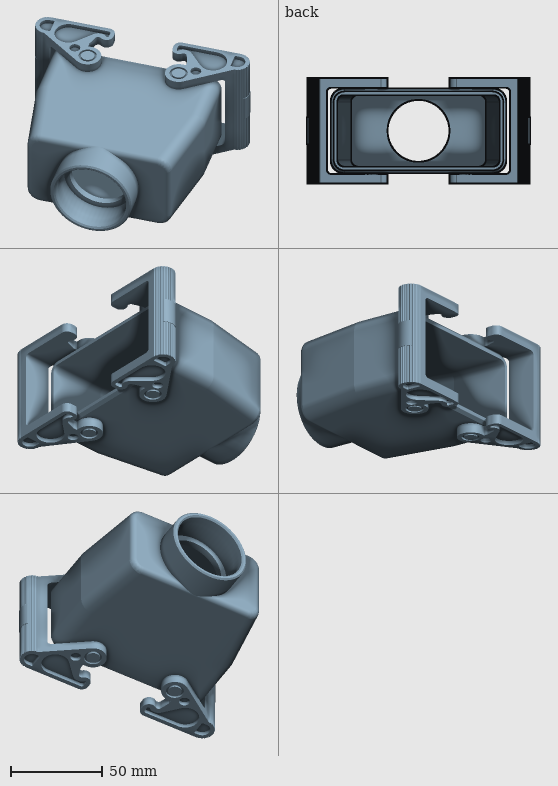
import cadquery as cq
import math



def on_circle(centre, radius, angle):
    """Point of a circle at an angle in radians."""
    return (centre[0] + radius * math.cos(angle), centre[1] + radius * math.sin(angle))


HOOD_HALF_WIDTH = 48.2
HOOD_HALF_HEIGHT = 23.3
HOOD_END_HALF_WIDTH = 40.6
HOOD_TAPER_Y = -34.6
HOOD_END_Y = -77.4
HOOD_SIDE_FILLET = 7.4
HOOD_END_FILLET = 3.2
MATING_EDGE_CHAMFER = 1.7
WALL = 3.7
END_WALL = 6.1
CAVITY_FILLET = HOOD_SIDE_FILLET - WALL

COLLAR_RADIUS = 23.2
COLLAR_END_Y = -92.6
COLLAR_CHAMFER = 0.9
ENTRY_RECESS_RADIUS = 20.2
ENTRY_RECESS_DEPTH = 17.5
ENTRY_RECESS_CHAMFER = 0.9
BORE_RADIUS = 16.9

LEVER_HALF_HEIGHT = 58.0 / 2
LEVER_TOP_Y = 15.3
WINDOW_HALF_HEIGHT = 23.5
WINDOW_X = -50.1
WINDOW_FILLET = 2.2

GRIP_RADIUS = 6.9
GRIP_PAD_RADIUS = 7.1
LEVER_OUTER_X = -61.3
GRIP_CENTRE = (LEVER_OUTER_X + GRIP_PAD_RADIUS, LEVER_TOP_Y - GRIP_RADIUS)
GRIP_PAD_HALF_HEIGHT = 7.4
GRIP_PAD_HALF_WIDTH = 4.4
SERRATION_DEPTH = 0.4
SERRATION_COUNT = 13

PIVOT = (-26.0, -9.7)
PIVOT_RADIUS = 7.5
PIN_RADIUS = 7.5 / 2
PIN_GROOVE_RADIUS = 9.9 / 2
PIN_GROOVE_DEPTH = 1.2
PIN_ROOT = 1.8
PIN_LENGTH = LEVER_HALF_HEIGHT - HOOD_HALF_HEIGHT + PIN_ROOT

HOOK_X = -16.9
HOOK_RADIUS = 3.8
HOOK_TIP = (HOOK_X - HOOK_RADIUS, 9.3)
HOOK_TOP = (HOOK_TIP[0], LEVER_TOP_Y - HOOK_RADIUS)
HOOK_TO_NOTCH = math.radians(-130)
NOTCH_RADIUS = 1.8
NOTCH_CENTRE = on_circle(HOOK_TIP, HOOK_RADIUS + NOTCH_RADIUS, HOOK_TO_NOTCH)
NOTCH_FOOT = (-28.0, 0.1)

RIM = 2.5
NOTCH_RIM = 3.2
RECESS_DEPTH = 2.5
RECESS_CENTRE = (-41.3, 5.1)
RECESS_RADIUS = LEVER_TOP_Y - RIM - RECESS_CENTRE[1]
RECESS_TIP_RADIUS = HOOK_RADIUS - RIM
RECESS_NOTCH_RADIUS = NOTCH_RADIUS + NOTCH_RIM
GRIP_RECESS_FLAT_X = -51.5
GRIP_RECESS_RADIUS = GRIP_RADIUS - RIM
GRIP_RECESS_FILLET = 0.6
HOLE_CENTRE = (-34.6, -5.5)
HOLE_RADIUS = 6.0 / 2
HOLE_DEPTH = 2.5


def direction(start, end):
    """Angle in radians of the line from start to end."""
    return math.atan2(end[1] - start[1], end[0] - start[0])


def tangent_angle(centre, radius, point, side):
    """Angle on a circle where the tangent from an outside point touches (side is +1 or -1)."""
    return direction(centre, point) + side * math.acos(radius / math.dist(centre, point))


def prism(outline, bottom, top):
    """Solid between two heights from a closed outline drawn on the XY plane."""
    return outline.extrude(top - bottom).translate((0, 0, bottom))


def both_arms(outline, depth):
    """Mirrored pair of prisms reaching inwards from the outer faces of both arms."""
    upper = prism(outline, LEVER_HALF_HEIGHT - depth, LEVER_HALF_HEIGHT)
    return upper.union(upper.mirror("XY"))


def disc(centre, radius):
    """Circular outline on the XY plane."""
    return cq.Workplane("XY").center(*centre).circle(radius)


def hood_block(inset, end_y):
    """Straight then tapered block, drawn in by an inset on its X and Z sides."""
    half_width = HOOD_HALF_WIDTH - inset
    end_half_width = HOOD_END_HALF_WIDTH - inset
    half_height = HOOD_HALF_HEIGHT - inset
    outline = cq.Workplane("XY").polyline([
        (-half_width, 0),
        (half_width, 0),
        (half_width, HOOD_TAPER_Y),
        (end_half_width, end_y),
        (-end_half_width, end_y),
        (-half_width, HOOD_TAPER_Y),
    ]).close()
    return prism(outline, -half_height, half_height)


def long_edges(block):
    """Edges of the Z faces that run along the hood sides."""
    return block.faces("|Z").edges("not(|X)")


def make_hood():
    hood = long_edges(hood_block(0, HOOD_END_Y)).fillet(HOOD_SIDE_FILLET)
    hood = hood.faces("<Y").edges().fillet(HOOD_END_FILLET)
    hood = hood.faces(">Y").edges("|X").chamfer(MATING_EDGE_CHAMFER)
    cavity = long_edges(hood_block(WALL, HOOD_END_Y + END_WALL)).fillet(CAVITY_FILLET)
    hood = hood.union(make_collar())
    return hood.cut(cavity).cut(make_entry())


def along_y(radius, start_y, end_y):
    """Cylinder on the Y axis running from start_y down to end_y."""
    return cq.Workplane("XZ", origin=(0, start_y, 0)).circle(radius).extrude(start_y - end_y)


def make_collar():
    collar = along_y(COLLAR_RADIUS, HOOD_END_Y + END_WALL, COLLAR_END_Y)
    return collar.faces("<Y").chamfer(COLLAR_CHAMFER)


def make_entry():
    """Cutter for the cable bore and its wider, chamfered mouth."""
    recess_floor_y = COLLAR_END_Y + ENTRY_RECESS_DEPTH
    mouth = along_y(ENTRY_RECESS_RADIUS, recess_floor_y, COLLAR_END_Y)
    flare_radius = ENTRY_RECESS_RADIUS + ENTRY_RECESS_CHAMFER
    flare = cq.Workplane("XZ", origin=(0, COLLAR_END_Y, 0)).circle(flare_radius)
    flare = flare.extrude(-ENTRY_RECESS_CHAMFER, taper=45)
    bore = along_y(BORE_RADIUS, HOOD_END_Y + 2 * END_WALL, COLLAR_END_Y)
    return mouth.union(flare).union(bore)


def lever_outline():
    """Outline of an arm: grip end, hook, notch and pivot end."""
    grip_top, grip_side, grip_bottom = [
        on_circle(GRIP_CENTRE, GRIP_RADIUS, math.radians(angle)) for angle in (90, 180, 270)
    ]
    hook_tip_end = on_circle(HOOK_TIP, HOOK_RADIUS, HOOK_TO_NOTCH)
    hook_tip_middle = on_circle(HOOK_TIP, HOOK_RADIUS, HOOK_TO_NOTCH / 2)
    notch_top = on_circle(NOTCH_CENTRE, NOTCH_RADIUS, math.pi / 2)
    notch_end_angle = tangent_angle(NOTCH_CENTRE, NOTCH_RADIUS, NOTCH_FOOT, -1)
    notch_end = on_circle(NOTCH_CENTRE, NOTCH_RADIUS, notch_end_angle)
    pivot_top = on_circle(PIVOT, PIVOT_RADIUS, math.pi / 2)
    pivot_side = on_circle(PIVOT, PIVOT_RADIUS, 0)
    pivot_end_angle = tangent_angle(PIVOT, PIVOT_RADIUS, grip_bottom, 1)
    pivot_end = on_circle(PIVOT, PIVOT_RADIUS, pivot_end_angle)

    return (
        cq.Workplane("XY")
        .moveTo(*grip_top)
        .lineTo(HOOK_TOP[0], LEVER_TOP_Y)
        .threePointArc(on_circle(HOOK_TOP, HOOK_RADIUS, math.pi / 4), (HOOK_X, HOOK_TOP[1]))
        .lineTo(HOOK_X, HOOK_TIP[1])
        .threePointArc(hook_tip_middle, hook_tip_end)
        .threePointArc(notch_top, notch_end)
        .lineTo(*NOTCH_FOOT)
        .lineTo(NOTCH_FOOT[0], pivot_top[1])
        .lineTo(*pivot_top)
        .threePointArc(pivot_side, pivot_end)
        .lineTo(*grip_bottom)
        .threePointArc(grip_side, grip_top)
        .close()
    )


def hook_recess_outline():
    """Teardrop: a large round end that narrows over the notch and into the hook."""
    spacing = math.dist(RECESS_CENTRE, NOTCH_CENTRE)
    turn = math.acos((RECESS_RADIUS + RECESS_NOTCH_RADIUS) / spacing)
    flank_angle = direction(RECESS_CENTRE, NOTCH_CENTRE) - turn
    flank_start = on_circle(NOTCH_CENTRE, RECESS_NOTCH_RADIUS, flank_angle + math.pi)
    flank_end = on_circle(RECESS_CENTRE, RECESS_RADIUS, flank_angle)

    tip = RECESS_TIP_RADIUS
    reach = HOOK_RADIUS + NOTCH_RADIUS
    cosine = (tip**2 + reach**2 - RECESS_NOTCH_RADIUS**2) / (2 * tip * reach)
    crossing_angle = HOOK_TO_NOTCH + math.acos(cosine)
    crossing = on_circle(HOOK_TIP, tip, crossing_angle)

    round_top = on_circle(RECESS_CENTRE, RECESS_RADIUS, math.pi / 2)
    round_side = on_circle(RECESS_CENTRE, RECESS_RADIUS, math.pi)
    tip_side = on_circle(HOOK_TOP, tip, 0)
    return (
        cq.Workplane("XY")
        .moveTo(*round_top)
        .lineTo(*on_circle(HOOK_TOP, tip, math.pi / 2))
        .threePointArc(on_circle(HOOK_TOP, tip, math.pi / 4), tip_side)
        .lineTo(tip_side[0], HOOK_TIP[1])
        .threePointArc(on_circle(HOOK_TIP, tip, crossing_angle / 2), crossing)
        .threePointArc(on_circle(NOTCH_CENTRE, RECESS_NOTCH_RADIUS, math.pi / 2), flank_start)
        .lineTo(*flank_end)
        .threePointArc(round_side, round_top)
        .close()
    )


def grip_recess():
    """Half-round cutter with a flat side, for the outer end of both arms."""
    top, side, bottom = [
        on_circle(GRIP_CENTRE, GRIP_RECESS_RADIUS, math.radians(angle)) for angle in (90, 180, 270)
    ]
    outline = cq.Workplane("XY").moveTo(*top).threePointArc(side, bottom)
    outline = outline.lineTo(GRIP_RECESS_FLAT_X, bottom[1]).lineTo(GRIP_RECESS_FLAT_X, top[1]).close()
    cutter = both_arms(outline, RECESS_DEPTH)
    return cutter.edges("|Z and >X").fillet(GRIP_RECESS_FILLET)


def serrations():
    """Cutters for V-shaped grooves spread evenly over the half-round face of the grip."""
    pitch = 180 / SERRATION_COUNT
    first = 90 + pitch / 2
    grooves = (
        cq.Workplane("XY")
        .center(*GRIP_CENTRE)
        .polarArray(GRIP_RADIUS, first, 180 - pitch, SERRATION_COUNT)
        .polygon(4, 2 * SERRATION_DEPTH)
    )
    return prism(grooves, -LEVER_HALF_HEIGHT, LEVER_HALF_HEIGHT)


def grip_pad():
    """Smooth pad that stands slightly proud of the serrations at mid-height."""
    pad = prism(disc(GRIP_CENTRE, GRIP_PAD_RADIUS), -GRIP_PAD_HALF_HEIGHT, GRIP_PAD_HALF_HEIGHT)
    outer_side = cq.Workplane("XY").box(
        GRIP_PAD_RADIUS, 2 * GRIP_PAD_HALF_WIDTH, 2 * GRIP_PAD_HALF_HEIGHT
    )
    return pad.intersect(outer_side.translate((GRIP_CENTRE[0] - GRIP_PAD_RADIUS / 2, GRIP_CENTRE[1], 0)))


def lever_window():
    """Cutter that opens the space between the arms for the hood."""
    length = -WINDOW_X
    depth = 2 * (LEVER_TOP_Y - PIVOT[1] + PIVOT_RADIUS)
    window = cq.Workplane("XY").box(length, depth, 2 * WINDOW_HALF_HEIGHT)
    return window.translate((WINDOW_X / 2, 0, 0)).edges("|Y and <X").fillet(WINDOW_FILLET)


def pivot_pins():
    """Pins rooted in the hood walls that carry both arms, flush with the arm faces."""
    return both_arms(disc(PIVOT, PIN_RADIUS), PIN_LENGTH)


def make_lever():
    lever = prism(lever_outline(), -LEVER_HALF_HEIGHT, LEVER_HALF_HEIGHT)
    lever = lever.cut(serrations()).union(grip_pad()).cut(lever_window())
    lever = lever.cut(both_arms(hook_recess_outline(), RECESS_DEPTH))
    lever = lever.cut(grip_recess())
    lever = lever.cut(both_arms(disc(HOLE_CENTRE, HOLE_RADIUS), HOLE_DEPTH))
    lever = lever.cut(both_arms(disc(PIVOT, PIN_GROOVE_RADIUS), PIN_GROOVE_DEPTH))
    return lever.union(pivot_pins())


left_lever = make_lever()
result = make_hood().union(left_lever).union(left_lever.mirror("YZ"))